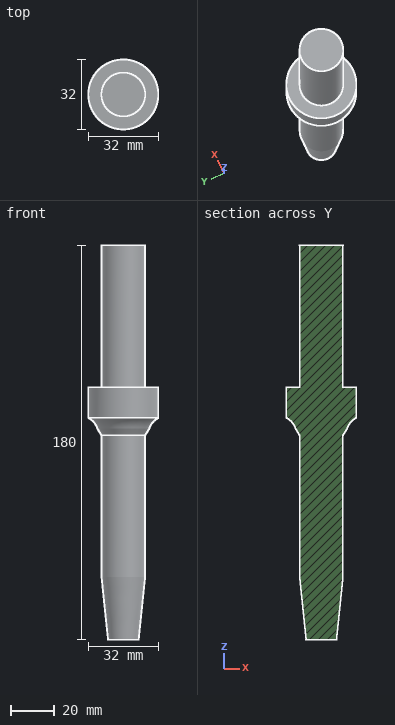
import cadquery as cq

total_length = 180.0
shaft_radius = 20.0 / 2
collar_radius = 32.0 / 2
tip_radius = 14.0 / 2
taper_length = 28.6

upper_shaft_length = 64.8
collar_height = 14.0
flare_height = 4.9
flare_end_radius = 11.9
flare_arc_radius = 8.1
neck_cone_height = 3.0

collar_top = total_length - upper_shaft_length
collar_bottom = collar_top - collar_height
flare_bottom = collar_bottom - flare_height
neck_bottom = flare_bottom - neck_cone_height

profile = (
    cq.Workplane("XZ")
    .moveTo(0, 0)
    .lineTo(tip_radius, 0)
    .lineTo(shaft_radius, taper_length)
    .lineTo(shaft_radius, neck_bottom)
    .lineTo(flare_end_radius, flare_bottom)
    .radiusArc((collar_radius, collar_bottom), flare_arc_radius)
    .lineTo(collar_radius, collar_top)
    .lineTo(shaft_radius, collar_top)
    .lineTo(shaft_radius, total_length)
    .lineTo(0, total_length)
    .close()
)

result = profile.revolve(360, (0, 0, 0), (0, 1, 0))